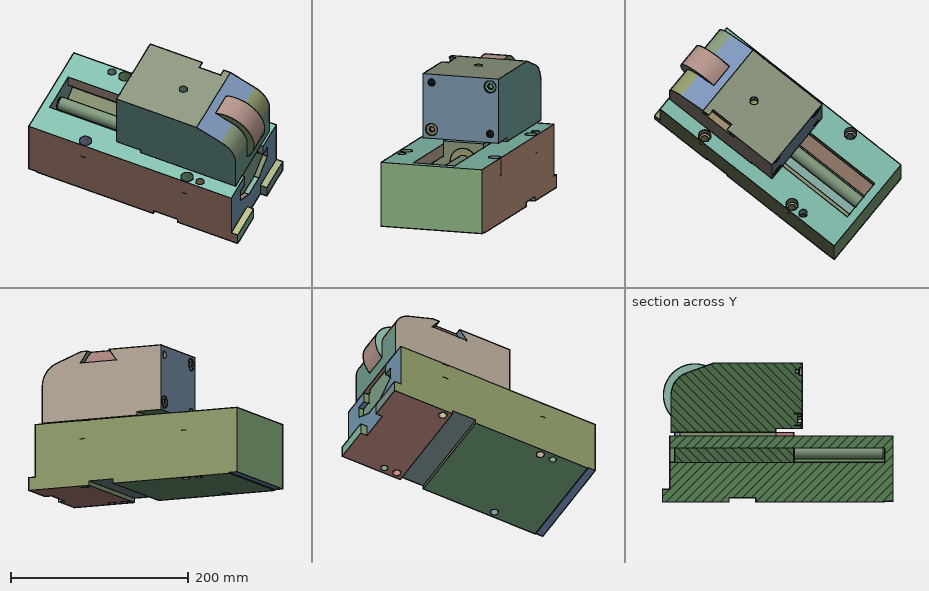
import cadquery as cq
import math


BASE_LENGTH = 260.0
BASE_WIDTH = 120.0
BASE_HEIGHT = 75.0
FLANGE_LENGTH = 8.0
FLANGE_HEIGHT = 14.8
FLANGE_GAP_WIDTH = 34.8
BODY_END_X = BASE_LENGTH - FLANGE_LENGTH
REAR_RELIEF_LENGTH = 9.5
REAR_RELIEF_HEIGHT = 1.0
KEYWAY_START_X = 155.0
KEYWAY_WIDTH = 30.0
KEYWAY_HEIGHT = 5.0

CHANNEL_START_X = 9.5
CHANNEL_MOUTH_WIDTH = 49.5
CHANNEL_LIP_Z = BASE_HEIGHT - 14.0
CHANNEL_WIDE_WIDTH = 71.8
CHANNEL_FLOOR_WIDTH = 26.8
CHANNEL_SLOPE_ANGLE = 31.0
CHANNEL_SLOPE_Z = BASE_HEIGHT - 29.5
CHANNEL_SLOPE_RUN = (CHANNEL_WIDE_WIDTH - CHANNEL_FLOOR_WIDTH) / 2
CHANNEL_FLOOR_Z = CHANNEL_SLOPE_Z - CHANNEL_SLOPE_RUN * math.tan(math.radians(CHANNEL_SLOPE_ANGLE))

MOUNT_Y = 52.5
BOLT_X = (67.0, 193.5)
BOLT_HOLE_DIAMETER = 9.0
BOLT_HEAD_DIAMETER = 13.8
BOLT_HEAD_DEPTH = 20.8
BASE_DOWEL_DIAMETER = 9.0
BASE_DOWEL_DEPTH = 26.0
BASE_DOWEL_RELIEF_DIAMETER = 8.0
BASE_DOWELS = ((51.0, MOUNT_Y), (209.5, -MOUNT_Y))

SLIDE_TOP_Z = 157.0
HEAD_WIDTH = 90.0
HEAD_REAR_X = 102.2
HEAD_FRONT_X = 250.5
HEAD_BOTTOM_Z = 78.8
HEAD_STEP_X = 132.0
HEAD_STEP_Z = 83.0
NOSE_SLOPE_ANGLE = 20.0
NOSE_RADIUS = 26.8
NOSE_CENTER_X = HEAD_FRONT_X - NOSE_RADIUS

SHOE_REAR_X = 111.8
SHOE_FRONT_X = 246.2
NECK_WIDTH = 47.8
NECK_WAIST_WIDTH = 46.3
NECK_TAPER_X = 240.2
NECK_TAPER_DEPTH = 2.3

ROLLER_RADIUS = 35.4
ROLLER_WIDTH = 28.3
ROLLER_Z = 120.6

NOTCH_START_X = 167.2
NOTCH_LENGTH = 26.3
NOTCH_WIDTH = 8.0
NOTCH_DEPTH = 13.0
NOTCH_UNDERCUT_ANGLE = 36.0
TOP_HOLE_X = 164.3
TOP_HOLE_DIAMETER = 9.0
TOP_HOLE_DEPTH = 15.5
DRILL_POINT_ANGLE = 118.0

FASTENER_Y = 34.8
FASTENER_UPPER_Z = 147.5
FASTENER_LOWER_Z = 93.0
SCREWS = ((-FASTENER_Y, FASTENER_UPPER_Z), (FASTENER_Y, FASTENER_LOWER_Z))
DOWELS = ((FASTENER_Y, FASTENER_UPPER_Z), (-FASTENER_Y, FASTENER_LOWER_Z))
SCREW_BORE_DIAMETER = 14.0
SCREW_HEAD_DIAMETER = 13.3
SCREW_RECESS = 1.3
SCREW_HEAD_HEIGHT = 7.8
HEX_ACROSS_FLATS = 6.0
HEX_DEPTH = 4.0
DOWEL_BORE_DIAMETER = 8.3
DOWEL_RECESS = 3.5
DOWEL_MOUTH_DIAMETER = 5.7
DOWEL_THREAD_DIAMETER = 3.6
DOWEL_THREAD_DEPTH = 7.8

SPRING_Z = BASE_HEIGHT - 18.5
SPRING_BODY_RADIUS = 15.5
SPRING_BODY_DEPTH = 78.0
SPRING_PROTRUSION = 0.8
SPRING_ROD_RADIUS = 7.5
SPRING_ROD_CHAMFER_LENGTH = 1.5
SPRING_ROD_CHAMFER_DEPTH = 0.5


def box(x_start, x_end, width, z_start, z_end):
    """Box centred on the middle plane."""
    return cq.Workplane("XY").box(
        x_end - x_start, width, z_end - z_start, centered=(False, True, False)
    ).translate((x_start, 0, z_start))


def x_cylinder(x_start, x_end, radius, y, z):
    """Cylinder with its axis along X."""
    return cq.Workplane("YZ", origin=(x_start, y, z)).circle(radius).extrude(x_end - x_start)


def guide_section(mouth_width, top_z, x_start, x_end):
    """T-shaped guide section, with sloped lower corners, extruded along X."""
    half_outline = [
        (mouth_width / 2, top_z),
        (mouth_width / 2, CHANNEL_LIP_Z),
        (CHANNEL_WIDE_WIDTH / 2, CHANNEL_LIP_Z),
        (CHANNEL_WIDE_WIDTH / 2, CHANNEL_SLOPE_Z),
        (CHANNEL_FLOOR_WIDTH / 2, CHANNEL_FLOOR_Z),
    ]
    mirrored = [(-y, z) for y, z in reversed(half_outline)]
    outline = cq.Workplane("YZ", origin=(x_start, 0, 0)).polyline(half_outline + mirrored)
    return outline.close().extrude(x_end - x_start)


def make_base():
    base = box(0, BODY_END_X, BASE_WIDTH, 0, BASE_HEIGHT)
    base = base.union(box(BODY_END_X, BASE_LENGTH, BASE_WIDTH, 0, FLANGE_HEIGHT))

    base = base.cut(box(BODY_END_X, BASE_LENGTH, FLANGE_GAP_WIDTH, 0, FLANGE_HEIGHT))
    base = base.cut(box(0, REAR_RELIEF_LENGTH, BASE_WIDTH, 0, REAR_RELIEF_HEIGHT))
    base = base.cut(box(KEYWAY_START_X, KEYWAY_START_X + KEYWAY_WIDTH, BASE_WIDTH, 0, KEYWAY_HEIGHT))

    base = base.cut(guide_section(CHANNEL_MOUTH_WIDTH, BASE_HEIGHT, CHANNEL_START_X, BODY_END_X))

    bolts = [(x, side * MOUNT_Y) for x in BOLT_X for side in (-1, 1)]
    top_plane = cq.Workplane("XY", origin=(0, 0, BASE_HEIGHT))
    base = base.cut(top_plane.pushPoints(bolts).circle(BOLT_HOLE_DIAMETER / 2).extrude(-BASE_HEIGHT))
    base = base.cut(top_plane.pushPoints(bolts).circle(BOLT_HEAD_DIAMETER / 2).extrude(-BOLT_HEAD_DEPTH))

    dowels = top_plane.pushPoints(BASE_DOWELS)
    base = base.cut(dowels.circle(BASE_DOWEL_DIAMETER / 2).extrude(-BASE_DOWEL_DEPTH))
    return base.cut(dowels.circle(BASE_DOWEL_RELIEF_DIAMETER / 2).extrude(-BASE_HEIGHT))


def make_head():
    """Upper block with a sloped and rounded nose, and a step under its rear end."""
    slope = math.radians(NOSE_SLOPE_ANGLE)
    tangent_x = NOSE_CENTER_X + NOSE_RADIUS * math.sin(slope)
    tangent_z = ROLLER_Z + NOSE_RADIUS * math.cos(slope)
    slope_start_x = tangent_x - (SLIDE_TOP_Z - tangent_z) / math.tan(slope)
    middle_angle = (math.pi / 2 - slope) / 2
    arc_middle = (
        NOSE_CENTER_X + NOSE_RADIUS * math.cos(middle_angle),
        ROLLER_Z + NOSE_RADIUS * math.sin(middle_angle),
    )
    return (
        cq.Workplane("XZ", origin=(0, HEAD_WIDTH / 2, 0))
        .moveTo(HEAD_REAR_X, HEAD_STEP_Z)
        .lineTo(HEAD_REAR_X, SLIDE_TOP_Z)
        .lineTo(slope_start_x, SLIDE_TOP_Z)
        .lineTo(tangent_x, tangent_z)
        .threePointArc(arc_middle, (HEAD_FRONT_X, ROLLER_Z))
        .lineTo(HEAD_FRONT_X, HEAD_BOTTOM_Z)
        .lineTo(HEAD_STEP_X, HEAD_BOTTOM_Z)
        .lineTo(HEAD_STEP_X, HEAD_STEP_Z)
        .close()
        .extrude(HEAD_WIDTH)
    )


def make_neck_front():
    """Narrower front stretch of the neck, with its end tapered on both sides."""
    half_waist = NECK_WAIST_WIDTH / 2
    half_end = half_waist - NECK_TAPER_DEPTH
    return (
        cq.Workplane("XY", origin=(0, 0, BASE_HEIGHT))
        .polyline([
            (HEAD_STEP_X, -half_waist),
            (NECK_TAPER_X, -half_waist),
            (SHOE_FRONT_X, -half_end),
            (SHOE_FRONT_X, half_end),
            (NECK_TAPER_X, half_waist),
            (HEAD_STEP_X, half_waist),
        ])
        .close()
        .extrude(HEAD_BOTTOM_Z - BASE_HEIGHT)
    )


def make_notch():
    """Notch in the upper edge of the +Y side, its ends undercut like a dovetail."""
    undercut = NOTCH_DEPTH * math.tan(math.radians(NOTCH_UNDERCUT_ANGLE))
    notch_end_x = NOTCH_START_X + NOTCH_LENGTH
    floor_z = SLIDE_TOP_Z - NOTCH_DEPTH
    return (
        cq.Workplane("XZ", origin=(0, HEAD_WIDTH / 2, 0))
        .polyline([
            (NOTCH_START_X, SLIDE_TOP_Z),
            (notch_end_x, SLIDE_TOP_Z),
            (notch_end_x + undercut, floor_z),
            (NOTCH_START_X - undercut, floor_z),
        ])
        .close()
        .extrude(NOTCH_WIDTH)
    )


def make_top_hole():
    """Blind drilled hole in the top of the head, with a conical bottom."""
    radius = TOP_HOLE_DIAMETER / 2
    tip_depth = TOP_HOLE_DEPTH + radius / math.tan(math.radians(DRILL_POINT_ANGLE / 2))
    return (
        cq.Workplane("XZ", origin=(TOP_HOLE_X, 0, SLIDE_TOP_Z))
        .polyline([(0, 0), (radius, 0), (radius, -TOP_HOLE_DEPTH), (0, -tip_depth)])
        .close()
        .revolve(360, (0, 0), (0, 1))
    )


def make_screw_recess(y, z):
    """Clearance around a recessed cap screw head, and its hexagon socket."""
    head_x = HEAD_REAR_X + SCREW_RECESS
    bore_end_x = head_x + SCREW_HEAD_HEIGHT
    bore = x_cylinder(HEAD_REAR_X, bore_end_x, SCREW_BORE_DIAMETER / 2, y, z)
    screw_head = x_cylinder(head_x, bore_end_x, SCREW_HEAD_DIAMETER / 2, y, z)
    hex_across_corners = HEX_ACROSS_FLATS / math.cos(math.pi / 6)
    socket = cq.Workplane("YZ", origin=(head_x, y, z)).polygon(6, hex_across_corners).extrude(HEX_DEPTH)
    return bore.cut(screw_head).union(socket)


def make_dowel_recess(y, z):
    """Recess over a dowel end, with the countersunk extraction thread in the dowel."""
    bore_radius = DOWEL_BORE_DIAMETER / 2
    mouth_radius = DOWEL_MOUTH_DIAMETER / 2
    thread_radius = DOWEL_THREAD_DIAMETER / 2
    countersink_end = DOWEL_RECESS + mouth_radius - thread_radius
    return (
        cq.Workplane("XY", origin=(HEAD_REAR_X, y, z))
        .polyline([
            (0, 0),
            (0, bore_radius),
            (DOWEL_RECESS, bore_radius),
            (DOWEL_RECESS, mouth_radius),
            (countersink_end, thread_radius),
            (DOWEL_THREAD_DEPTH, thread_radius),
            (DOWEL_THREAD_DEPTH, 0),
        ])
        .close()
        .revolve(360, (0, 0), (1, 0))
    )


def make_slide():
    slide = make_head()
    slide = slide.union(guide_section(NECK_WAIST_WIDTH, BASE_HEIGHT, SHOE_REAR_X, SHOE_FRONT_X))
    slide = slide.union(box(SHOE_REAR_X, HEAD_STEP_X, NECK_WIDTH, CHANNEL_LIP_Z, HEAD_BOTTOM_Z))
    slide = slide.union(make_neck_front())

    roller = cq.Workplane("XZ", origin=(NOSE_CENTER_X, ROLLER_WIDTH / 2, ROLLER_Z))
    slide = slide.union(roller.circle(ROLLER_RADIUS).extrude(ROLLER_WIDTH))

    slide = slide.cut(make_notch())
    slide = slide.cut(make_top_hole())
    for y, z in SCREWS:
        slide = slide.cut(make_screw_recess(y, z))
    for y, z in DOWELS:
        slide = slide.cut(make_dowel_recess(y, z))

    bore_end_x = SHOE_REAR_X + SPRING_BODY_DEPTH
    return slide.cut(x_cylinder(SHOE_REAR_X, bore_end_x, SPRING_BODY_RADIUS, 0, SPRING_Z))


def make_gas_spring():
    """Cylinder seated in the slide, with a rod that reaches the rear wall of the channel."""
    body_start_x = SHOE_REAR_X - SPRING_PROTRUSION
    body_end_x = SHOE_REAR_X + SPRING_BODY_DEPTH
    body = x_cylinder(body_start_x, body_end_x, SPRING_BODY_RADIUS, 0, SPRING_Z)
    tip_end_x = CHANNEL_START_X + SPRING_ROD_CHAMFER_LENGTH
    tip_radius = SPRING_ROD_RADIUS - SPRING_ROD_CHAMFER_DEPTH
    rod = (
        cq.Workplane("XY", origin=(0, 0, SPRING_Z))
        .polyline([
            (CHANNEL_START_X, 0),
            (CHANNEL_START_X, tip_radius),
            (tip_end_x, SPRING_ROD_RADIUS),
            (body_start_x, SPRING_ROD_RADIUS),
            (body_start_x, 0),
        ])
        .close()
        .revolve(360, (0, 0), (1, 0))
    )
    return body.union(rod)


base = make_base()
slide = make_slide()
gas_spring = make_gas_spring()

result = cq.Compound.makeCompound([base.solids().val(), slide.solids().val(), gas_spring.solids().val()])